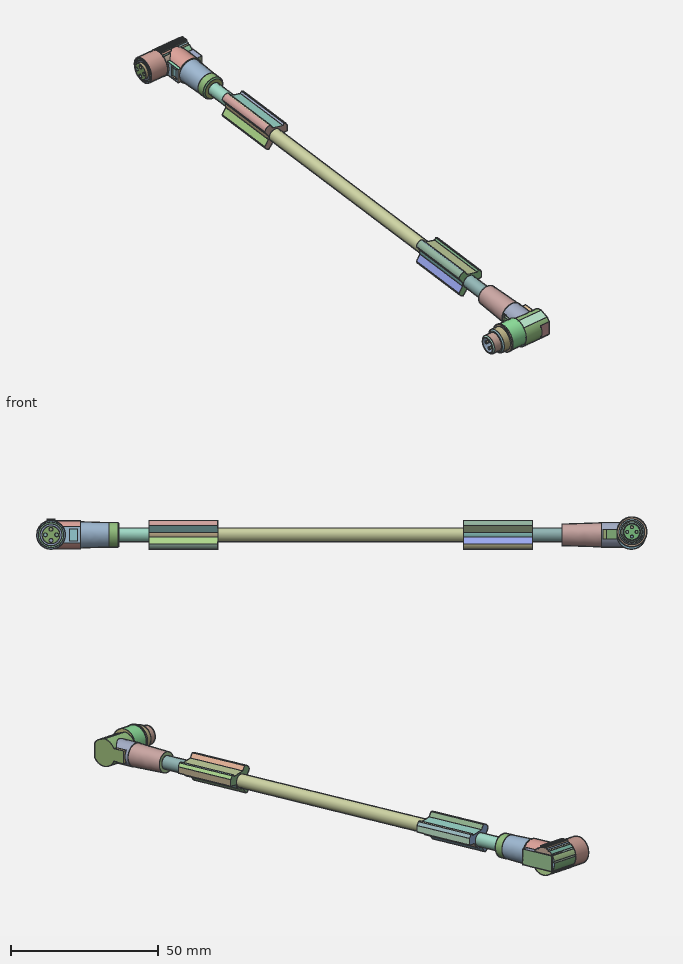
import cadquery as cq
import math

OVERALL_LENGTH = 206.63
CABLE_RADIUS = 2.4

CARRIER_LENGTH = 23.4
CARRIER_STARTS = (38.0, 144.5)
CARRIER_TUBE_RADIUS = 2.9
MOUTH_FLOOR_Y = -2.7
MOUTH_FLOOR_HALF_HEIGHT = 0.6
LOBE_FRONT_Y = -4.3
LOBE_EDGE_Z = 3.1
LOBE_ROUND = (-3.7, 4.3)
LOBE_TOP_Z = 4.9
LOBE_END = (-2.5, LOBE_TOP_Z)
UPPER_LOBE_BACK = (-1.8, LOBE_TOP_Z)
TRAY_FRONT = (-0.8, 3.3)
TRAY_BACK = (3.5, 2.3)
LIP_TOP = ((4.0, 3.0), (4.7, 2.8))
LIP_BACK_Y = 5.4
LIP_BACK_TOP_Z = 1.6
LIP_BACK_BOTTOM_Z = -0.7
LIP_ROOT = (2.5, -0.9)
LOWER_LOBE_BACK = (-0.7, -2.6)

CONTACT_COUNT = 4

SOCKET_RADIUS = 4.9
SOCKET_X = SOCKET_RADIUS
SOCKET_BACK_Y = 5.6
SOCKET_SLEEVE_Y = -5.6
SOCKET_FRONT_Y = -12.4
SOCKET_NOSE_Y = -13.5
SOCKET_NOSE_RADIUS = 3.0
SOCKET_SLEEVE_RADIUS = 4.8
FACE_GROOVE_OUTER_RADIUS = 4.3
FACE_GROOVE_INNER_RADIUS = 3.7
FACE_GROOVE_DEPTH = 0.5
CONTACT_CIRCLE_RADIUS = 1.9
CONTACT_HOLE_RADIUS = 0.65
CONTACT_HOLE_DEPTH = 4.0
SOCKET_RIB_WIDTH = 0.6
SOCKET_RIB_PITCH = 1.0
SOCKET_RIB_COUNT = 3
SOCKET_RIB_TOP = 5.35
GRIP_GROOVE_ANGLES = (62, 118, 142, 173, 218)
GRIP_GROOVE_RADIUS = 0.3
SOCKET_ARM_END_X = 14.9
SOCKET_ARM_RADIUS = 4.85
SOCKET_PAD_WIDTH = 5.6
SOCKET_CAP_END_X = 13.7
SOCKET_CAP_Y = 6.1
SOCKET_PAD_Y = -5.1
SOCKET_WINDOW_X = 11.2
SOCKET_WINDOW_LENGTH = 2.6
SOCKET_WINDOW_HEIGHT = 4.0
SOCKET_WINDOW_DEPTH = 0.6
SOCKET_GRIP_START_RADIUS = 4.5
SOCKET_GRIP_END_RADIUS = 4.2
SOCKET_NUT_X = 24.6
SOCKET_NUT_END_X = 28.0
SOCKET_NUT_RADIUS = 4.25
SOCKET_NUT_CHAMFER = 0.5

PLUG_RING_RADIUS = 5.1
PLUG_X = OVERALL_LENGTH - PLUG_RING_RADIUS
PLUG_RING_Z = 1.0
PLUG_BODY_RADIUS = 4.9
PLUG_BODY_X = PLUG_X - 0.2
PLUG_BACK_Y = 5.0
PLUG_FACET_DISTANCE = 4.6
PLUG_FACET_TILT = 18.0
PLUG_FLAT_X = 205.5
PLUG_FLAT_END_Y = 1.3
PLUG_RING_START_Y = -5.6
PLUG_FLANGE_Y = -11.4
PLUG_RING_END_Y = -12.0
PLUG_RING_STEP = 0.15
PLUG_NOSE_RADIUS = 4.35
PLUG_NOSE_END_Y = -15.1
PLUG_TIP_RADIUS = 3.4
PLUG_TIP_Y = -18.46
PLUG_CHAMFER = 0.5
PLUG_BORE_RADIUS = 2.7
PLUG_BORE_DEPTH = 4.0
PIN_RADIUS = 0.5
PIN_CIRCLE_RADIUS = 1.6
PIN_LENGTH = 3.4
PLUG_ARM_X = 191.3
PLUG_ARM_RADIUS = 4.25
PLUG_PAD_X = 192.6
PLUG_PAD_WIDTH = 4.5
PLUG_LATCH_Y = -4.7
PLUG_LATCH_X = 193.0
PLUG_LATCH_BOTTOM_Z = -1.4
PLUG_LATCH_TOP_Z = 1.8
PLUG_SLOT_X = 191.7
PLUG_SLOT_FLOOR_Y = -3.5
PLUG_GRIP_X = 177.8
PLUG_GRIP_END_RADIUS = 3.7
PLUG_GRIP_START_RADIUS = 4.15


def rod_along_x(x0, x1, radius):
    return cq.Workplane("YZ").workplane(offset=x0).circle(radius).extrude(x1 - x0)


def rod_along_y(y0, y1, radius, x, z):
    """Cylinder parallel to Y, centred on (x, z)."""
    return cq.Workplane("XZ", origin=(x, y0, z)).circle(radius).extrude(y0 - y1)


def taper_along_x(x0, x1, radius0, radius1):
    profile = [(x0, 0), (x0, radius0), (x1, radius1), (x1, 0)]
    return cq.Workplane("XY").polyline(profile).close().revolve(360, (0, 0, 0), (1, 0, 0))


def block(x0, x1, y0, y1, z0, z1):
    return cq.Workplane("XY").box(x1 - x0, y1 - y0, z1 - z0, centered=False).translate((x0, y0, z0))


def circle_points(radius, count, x, z):
    """Points (x, z) evenly spaced on a circle, starting straight above its centre."""
    angles = [math.pi / 2 + 2 * math.pi * i / count for i in range(count)]
    return [(x + radius * math.cos(a), z + radius * math.sin(a)) for a in angles]


def make_carrier(x0):
    outline = (
        cq.Workplane("YZ", origin=(x0, 0, 0))
        .moveTo(MOUTH_FLOOR_Y, -MOUTH_FLOOR_HALF_HEIGHT)
        .lineTo(MOUTH_FLOOR_Y, MOUTH_FLOOR_HALF_HEIGHT)
        .lineTo(LOBE_FRONT_Y, LOBE_EDGE_Z)
        .threePointArc(LOBE_ROUND, LOBE_END)
        .lineTo(*UPPER_LOBE_BACK)
        .lineTo(*TRAY_FRONT)
        .lineTo(*TRAY_BACK)
    )
    for point in LIP_TOP:
        outline = outline.lineTo(*point)
    outline = (
        outline.lineTo(LIP_BACK_Y, LIP_BACK_TOP_Z)
        .lineTo(LIP_BACK_Y, LIP_BACK_BOTTOM_Z)
        .lineTo(*LIP_ROOT)
        .lineTo(*LOWER_LOBE_BACK)
        .lineTo(LOBE_END[0], -LOBE_END[1])
        .threePointArc((LOBE_ROUND[0], -LOBE_ROUND[1]), (LOBE_FRONT_Y, -LOBE_EDGE_Z))
        .close()
    )
    tube = rod_along_x(x0, x0 + CARRIER_LENGTH, CARRIER_TUBE_RADIUS)
    return outline.extrude(CARRIER_LENGTH).union(tube)


def make_socket_head():
    head = rod_along_y(SOCKET_BACK_Y, SOCKET_SLEEVE_Y, SOCKET_RADIUS, SOCKET_X, 0)
    for i in range(SOCKET_RIB_COUNT):
        offset = (i - (SOCKET_RIB_COUNT - 1) / 2) * SOCKET_RIB_PITCH
        x0 = SOCKET_X + offset - SOCKET_RIB_WIDTH / 2
        x1 = x0 + SOCKET_RIB_WIDTH
        rib = block(x0, x1, SOCKET_SLEEVE_Y, SOCKET_BACK_Y, 0, SOCKET_RIB_TOP)
        head = head.union(rib)
    for angle in GRIP_GROOVE_ANGLES:
        x = SOCKET_X + SOCKET_RADIUS * math.cos(math.radians(angle))
        z = SOCKET_RADIUS * math.sin(math.radians(angle))
        head = head.cut(rod_along_y(SOCKET_BACK_Y, SOCKET_SLEEVE_Y, GRIP_GROOVE_RADIUS, x, z))
    sleeve = rod_along_y(SOCKET_SLEEVE_Y, SOCKET_FRONT_Y, SOCKET_SLEEVE_RADIUS, SOCKET_X, 0)
    face_groove = (
        cq.Workplane("XZ", origin=(SOCKET_X, SOCKET_FRONT_Y + FACE_GROOVE_DEPTH, 0))
        .circle(FACE_GROOVE_OUTER_RADIUS)
        .circle(FACE_GROOVE_INNER_RADIUS)
        .extrude(FACE_GROOVE_DEPTH)
    )
    nose = rod_along_y(SOCKET_FRONT_Y, SOCKET_NOSE_Y, SOCKET_NOSE_RADIUS, SOCKET_X, 0)
    return head.union(sleeve.cut(face_groove)).union(nose)


def make_socket_arm():
    half = SOCKET_PAD_WIDTH / 2
    arm = rod_along_x(SOCKET_X, SOCKET_ARM_END_X, SOCKET_ARM_RADIUS)
    arm = arm.union(block(SOCKET_X, SOCKET_ARM_END_X, SOCKET_PAD_Y, 0, -half, half))
    window = block(
        SOCKET_WINDOW_X,
        SOCKET_WINDOW_X + SOCKET_WINDOW_LENGTH,
        SOCKET_PAD_Y,
        SOCKET_PAD_Y + SOCKET_WINDOW_DEPTH,
        -SOCKET_WINDOW_HEIGHT / 2,
        SOCKET_WINDOW_HEIGHT / 2,
    )
    cap_x = SOCKET_X - math.sqrt(SOCKET_RADIUS**2 - half**2)
    cap = block(cap_x, SOCKET_CAP_END_X, 0, SOCKET_CAP_Y, -half, half)
    return arm.cut(window).union(cap)


def make_socket():
    grip = taper_along_x(
        SOCKET_ARM_END_X, SOCKET_NUT_X, SOCKET_GRIP_START_RADIUS, SOCKET_GRIP_END_RADIUS
    )
    nut = rod_along_x(SOCKET_NUT_X, SOCKET_NUT_END_X, SOCKET_NUT_RADIUS)
    nut = nut.faces(">X").chamfer(SOCKET_NUT_CHAMFER)
    socket = make_socket_head().union(make_socket_arm()).union(grip).union(nut)
    hole_end_y = SOCKET_NOSE_Y + CONTACT_HOLE_DEPTH
    for x, z in circle_points(CONTACT_CIRCLE_RADIUS, CONTACT_COUNT, SOCKET_X, 0):
        socket = socket.cut(rod_along_y(hole_end_y, SOCKET_NOSE_Y, CONTACT_HOLE_RADIUS, x, z))
    return socket


def make_plug_body():
    half = PLUG_PAD_WIDTH / 2
    body = rod_along_y(PLUG_BACK_Y, PLUG_RING_START_Y, PLUG_BODY_RADIUS, PLUG_BODY_X, 0)
    flat = block(
        PLUG_FLAT_X, OVERALL_LENGTH, PLUG_FLAT_END_Y, PLUG_BACK_Y, -PLUG_BODY_RADIUS, PLUG_BODY_RADIUS
    )
    facet = block(
        -PLUG_BODY_RADIUS,
        PLUG_BODY_RADIUS,
        PLUG_RING_START_Y,
        PLUG_BACK_Y,
        PLUG_FACET_DISTANCE,
        PLUG_BODY_RADIUS,
    )
    facet = facet.rotate((0, 0, 0), (0, 1, 0), PLUG_FACET_TILT).translate((PLUG_BODY_X, 0, 0))
    body = body.cut(flat).cut(facet)
    grip = taper_along_x(PLUG_GRIP_X, PLUG_ARM_X, PLUG_GRIP_END_RADIUS, PLUG_GRIP_START_RADIUS)
    arm = rod_along_x(PLUG_ARM_X, PLUG_BODY_X, PLUG_ARM_RADIUS)
    cap = block(PLUG_PAD_X, PLUG_BODY_X, 0, PLUG_BACK_Y, -half, half)
    slot = block(
        PLUG_SLOT_X,
        PLUG_LATCH_X,
        PLUG_LATCH_Y,
        PLUG_SLOT_FLOOR_Y,
        PLUG_LATCH_BOTTOM_Z,
        PLUG_LATCH_TOP_Z,
    )
    latch = block(
        PLUG_LATCH_X, PLUG_BODY_X, PLUG_LATCH_Y, 0, PLUG_LATCH_BOTTOM_Z, PLUG_LATCH_TOP_Z
    )
    return body.union(grip).union(arm.cut(slot)).union(cap).union(latch)


def make_plug_front():
    def rod(y0, y1, radius):
        return rod_along_y(y0, y1, radius, PLUG_X, PLUG_RING_Z)

    front = rod(PLUG_RING_START_Y, PLUG_FLANGE_Y, PLUG_RING_RADIUS - PLUG_RING_STEP)
    front = front.union(rod(PLUG_FLANGE_Y, PLUG_RING_END_Y, PLUG_RING_RADIUS))
    nose = rod(PLUG_RING_END_Y, PLUG_NOSE_END_Y, PLUG_NOSE_RADIUS).faces("<Y").chamfer(PLUG_CHAMFER)
    tip = rod(PLUG_NOSE_END_Y, PLUG_TIP_Y, PLUG_TIP_RADIUS).faces("<Y").chamfer(PLUG_CHAMFER)
    bore_floor_y = PLUG_TIP_Y + PLUG_BORE_DEPTH
    front = front.union(nose).union(tip).cut(rod(bore_floor_y, PLUG_TIP_Y, PLUG_BORE_RADIUS))
    for x, z in circle_points(PIN_CIRCLE_RADIUS, CONTACT_COUNT, PLUG_X, PLUG_RING_Z):
        pin_root_y = bore_floor_y + PIN_RADIUS
        front = front.union(rod_along_y(pin_root_y, bore_floor_y - PIN_LENGTH, PIN_RADIUS, x, z))
    return front


result = rod_along_x(SOCKET_NUT_X, PLUG_ARM_X, CABLE_RADIUS)
for start_x in CARRIER_STARTS:
    result = result.union(make_carrier(start_x))
result = result.union(make_socket()).union(make_plug_body()).union(make_plug_front())